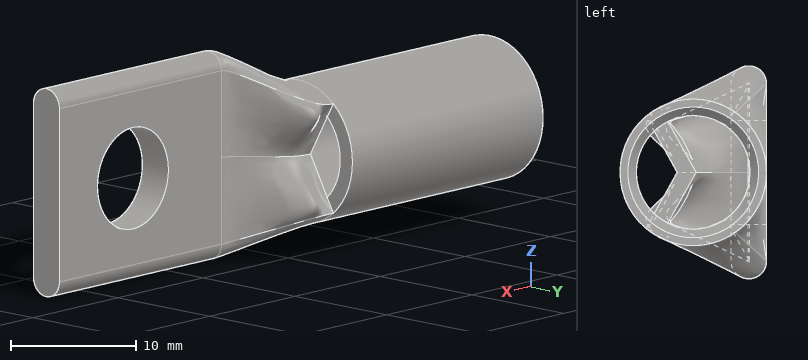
import cadquery as cq
import math


barrel_radius = 5.855
wall = 1.325
bore_radius = barrel_radius - wall
barrel_length = 22.4
mouth_chamfer = 0.69

neck_length = 5.8
palm_start = barrel_length + neck_length
overall_length = 47.24
palm_width = 17.02
palm_thickness = 2.84
palm_edge_radius = palm_thickness / 2
palm_bottom = -barrel_radius
palm_middle = palm_bottom + palm_edge_radius
palm_top = palm_bottom + palm_thickness
palm_flat_half_width = palm_width / 2 - palm_edge_radius

hole_diameter = 8.3
hole_x = 38.6

fold_half_angle = math.radians(61)
fold_tip_y = 1.29
fold_tip_inner_y = fold_tip_y - wall / math.sin(fold_half_angle)
lower_split_angle = math.radians(125)
neck_stations = 7
flare_delay = 1.3
shoulder_swell = 4.8
swell_end = 0.85
swell_sharpness = 4
tip_rounding_rate = 6
flatness = 1e-6
seam_gap = 0.1


def smooth(t):
    """Ease from 0 to 1 with no slope at either end."""
    return t * t * (3 - 2 * t)


def on_circle(radius, angle):
    return radius * math.cos(angle), radius * math.sin(angle)


def fold_corner_angle(radius, tip_y):
    """Angle from +Y at which a fold leg from (tip_y, 0) meets a circle."""
    return fold_half_angle - math.asin(tip_y * math.sin(fold_half_angle) / radius)


def folded_tube_points(radius, tip_y):
    """Half section (Y, Z): bottom, split, side, fold corner, fold tip."""
    corner_angle = fold_corner_angle(radius, tip_y)
    return [
        (-radius, 0),
        on_circle(radius, lower_split_angle),
        on_circle(radius, (lower_split_angle + corner_angle) / 2),
        on_circle(radius, corner_angle),
        (tip_y, 0),
    ]


def flat_points(middle_y, half_height, half_width):
    """The same half section pressed into a flat bar with round edges."""
    return [
        (middle_y - half_height, 0),
        (middle_y - half_height, half_width),
        (middle_y, half_width + half_height),
        (middle_y + half_height, half_width),
        (middle_y + half_height, 0),
    ]


def blend(start, end, t):
    """Half section at fraction t along the neck."""
    share = smooth(t ** flare_delay)
    return [
        (y0 + (y1 - y0) * share, z0 + (z1 - z0) * share)
        for (y0, z0), (y1, z1) in zip(start, end)
    ]


def swell(t):
    """Outward bow of the shoulders at fraction t along the neck."""
    if t >= swell_end:
        return 0
    return shoulder_swell * math.sin(math.pi * t / swell_end) ** swell_sharpness


def tip_rounding(t):
    """Roundness of the fold tip: 0 is a sharp V, 1 is square to the Y axis."""
    return 1 - (1 - t) ** tip_rounding_rate


def section_wire(x, half, bow, roundness):
    """Closed wire at X = x, mirrored about Z = 0, with fold legs bowed toward +Y."""
    bottom, split, side, corner, tip = [cq.Vector(x, y, z) for y, z in half]
    leg_third = (corner - tip) / 3
    shoulder = corner - leg_third + cq.Vector(0, bow, 0)
    foot = tip + leg_third - cq.Vector(0, leg_third.y * roundness, 0)

    def mirrored(point):
        return cq.Vector(point.x, point.y, -point.z)

    if abs(bottom.y - split.y) < flatness:
        underside = cq.Edge.makeLine(mirrored(split), split)
    else:
        underside = cq.Edge.makeThreePointArc(mirrored(split), bottom, split)
    return cq.Wire.assembleEdges([
        underside,
        cq.Edge.makeThreePointArc(split, side, corner),
        cq.Edge.makeBezier([corner, shoulder, foot, tip]),
        cq.Edge.makeBezier([tip, mirrored(foot), mirrored(shoulder), mirrored(corner)]),
        cq.Edge.makeThreePointArc(mirrored(corner), mirrored(side), mirrored(split)),
    ])


def neck_loft(start, end):
    wires = []
    for station in range(neck_stations):
        t = station / (neck_stations - 1)
        x = barrel_length + neck_length * t
        half = blend(start, end, t)
        wires.append(section_wire(x, half, swell(t), tip_rounding(t)))
    return cq.Workplane(cq.Solid.makeLoft(wires))


def make_barrel():
    barrel = cq.Workplane("YZ").circle(barrel_radius).circle(bore_radius).extrude(barrel_length)
    mouth = cq.Workplane(cq.Solid.makeCone(
        bore_radius + mouth_chamfer, bore_radius, mouth_chamfer,
        cq.Vector(0, 0, 0), cq.Vector(1, 0, 0),
    ))
    return barrel.cut(mouth)


def make_neck():
    outside = neck_loft(
        folded_tube_points(barrel_radius, fold_tip_y),
        flat_points(palm_middle, palm_edge_radius, palm_flat_half_width),
    )
    cavity = neck_loft(
        folded_tube_points(bore_radius, fold_tip_inner_y),
        flat_points(palm_middle, seam_gap / 2, palm_flat_half_width),
    )
    return outside.cut(cavity)


def make_palm():
    palm = (
        cq.Workplane("YZ", origin=(palm_start, palm_middle, 0))
        .slot2D(palm_width, palm_thickness, 90)
        .extrude(overall_length - palm_start)
    )
    hole = (
        cq.Workplane("XZ", origin=(hole_x, palm_top, 0))
        .circle(hole_diameter / 2)
        .extrude(palm_thickness)
    )
    return palm.cut(hole)


result = make_barrel().union(make_neck()).union(make_palm())